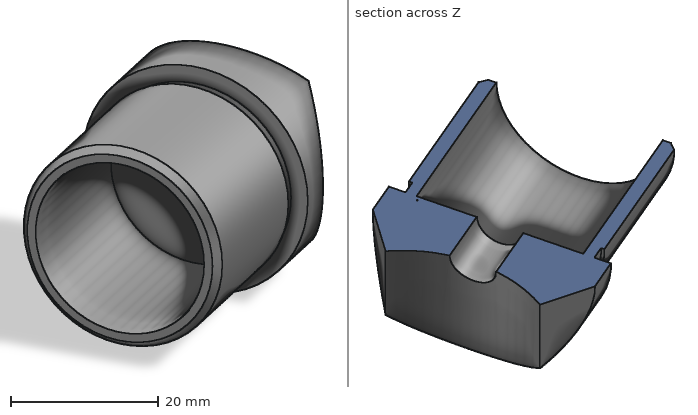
import cadquery as cq

total_length = 36.0
shoulder_y = 24.5
undercut_width = 2.0
spigot_length = shoulder_y - undercut_width
bore_depth = shoulder_y

head_diameter = 33.7
spigot_diameter = 29.7
undercut_diameter = 28.7
bore_diameter = 25.2
hole_diameter = 7.0

end_chamfer = 1.0

saddle_depth = 3.4
saddle_half_width = 11.7
bevel_length = 6.5

head_radius = head_diameter / 2


def cylinder_along_y(diameter, start_y, end_y):
    """Solid cylinder on the Y axis between two positions."""
    return (
        cq.Workplane("XZ", origin=(0, start_y, 0))
        .circle(diameter / 2)
        .extrude(start_y - end_y)
    )


def make_spigot():
    """Plain spigot with a chamfered open end."""
    spigot = cylinder_along_y(spigot_diameter, 0, spigot_length)
    return spigot.faces("<Y").edges().chamfer(end_chamfer)


def make_head():
    """Round head trimmed to the saddle seat and its two side bevels."""
    head = cylinder_along_y(head_diameter, shoulder_y, total_length)
    bevel_start_y = total_length - bevel_length
    saddle_floor_y = total_length - saddle_depth
    profile = (
        cq.Workplane("XY")
        .moveTo(-head_radius, shoulder_y)
        .lineTo(head_radius, shoulder_y)
        .lineTo(head_radius, bevel_start_y)
        .lineTo(saddle_half_width, total_length)
        .threePointArc((0, saddle_floor_y), (-saddle_half_width, total_length))
        .lineTo(-head_radius, bevel_start_y)
        .close()
        .extrude(head_radius, both=True)
    )
    return head.intersect(profile)


undercut = cylinder_along_y(undercut_diameter, spigot_length, shoulder_y)
bore = cylinder_along_y(bore_diameter, 0, bore_depth)
through_hole = cylinder_along_y(hole_diameter, 0, total_length)

body = make_spigot().union(undercut).union(make_head())
result = body.cut(bore).cut(through_hole)